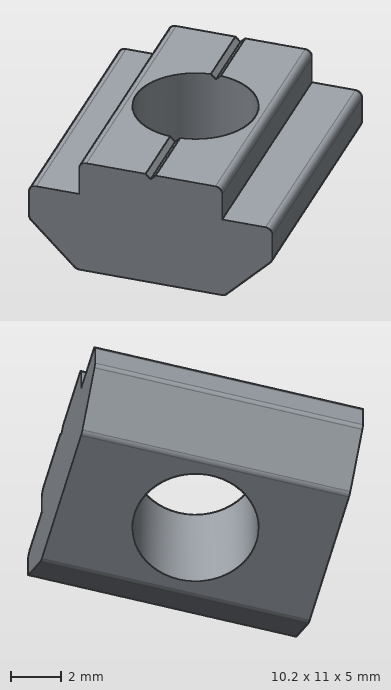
import cadquery as cq

length = 11.0
flange_width = 10.2
height = 5.0

neck_width = 6.0
shoulder_height = 3.52
bevel_size = 2.0
edge_radius = 0.3
bevel_radius = 0.3

groove_width = 0.42
groove_depth = groove_width / 2
hole_diameter = 5.0

half_flange = flange_width / 2
half_neck = neck_width / 2
half_base = half_flange - bevel_size


def extrude_along_y(outline):
    """Extrude a closed XZ outline, centred on Y = 0."""
    return cq.Workplane("XZ").polyline(outline).close().extrude(length / 2, both=True)


def edges_at(x, z):
    """Select the pair of lengthwise edges at +x and -x."""
    reach = 0.01
    left = cq.selectors.BoxSelector((-x - reach, -length, z - reach), (-x + reach, length, z + reach))
    right = cq.selectors.BoxSelector((x - reach, -length, z - reach), (x + reach, length, z + reach))
    return left + right


def make_body():
    right_side = [
        (half_base, 0),
        (half_flange, bevel_size),
        (half_flange, shoulder_height),
        (half_neck, shoulder_height),
        (half_neck, height),
    ]
    left_side = [(-x, z) for x, z in reversed(right_side)]
    body = extrude_along_y(right_side + left_side)
    body = body.edges(edges_at(half_neck, height) + edges_at(half_flange, shoulder_height)).fillet(edge_radius)
    return body.edges(edges_at(half_flange, bevel_size) + edges_at(half_base, 0)).fillet(bevel_radius)


def make_groove():
    half_groove = groove_width / 2
    return extrude_along_y([(-half_groove, height), (half_groove, height), (0, height - groove_depth)])


def make_hole():
    return cq.Workplane("XY").circle(hole_diameter / 2).extrude(height)


result = make_body().cut(make_groove()).cut(make_hole())